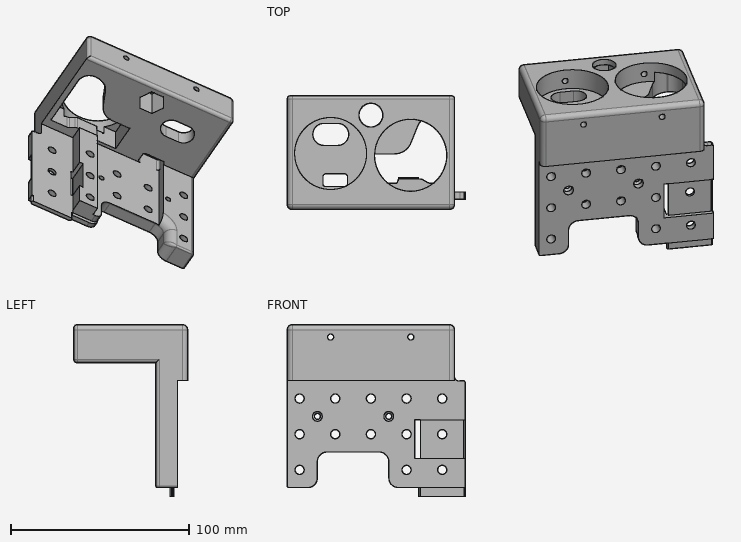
import cadquery as cq
import math

TOTAL_X = 100.0
BOX_X = 94.0
BOX_Y = 64.0
TOP_Z = 96.5
BOX_BOTTOM_Z = 75.0
LIP_BOTTOM_Z = 65.0
PLATE_BOTTOM_Z = 5.0
PLATE_FRONT_Y = 5.75
PLATE_BACK_Y = 18.0
THICK_PLATE_X = 73.8

FRONT_FILLET = 3.0
BACK_FILLET = 2.0
FOOT_FILLET = 1.0

TONGUE_FRONT_Y = 7.75
TONGUE_BACK_Y = 10.0
TONGUE_LEFT_X = 73.8
TONGUE_BEVEL = 0.9
WING_BLEND_X = 2.9
WING_BLEND_Z = 1.6
WING_BLEND_MIDDLE = (BOX_X + 1.0, LIP_BOTTOM_Z + 0.3)
WING_CORNER = 0.8
WINDOW_LEFT_X = 71.6
WINDOW_RIGHT_X = 74.8
WINDOW_FLOOR_Y = 8.2
WINDOW_BEVEL = 1.0
WINDOW_Z = (21.4, 43.0)

HOLE_PITCH = 20.0
FIRST_HOLE_X = 7.0
FIRST_HOLE_Z = 15.0
HOLE_D = 5.0
HOLE_COLUMNS_BY_ROW = ((0, 3, 4), (0, 1, 2, 3, 4), (0, 1, 2, 3, 4))
SCREW_D = 3.2
SCREW_HEAD_D = 5.5
SCREW_HEAD_DEPTH = 4.0
SCREW_Z = 45.0
NOTCH_LEFT_X = FIRST_HOLE_X + HOLE_PITCH / 2
NOTCH_RIGHT_X = NOTCH_LEFT_X + 2 * HOLE_PITCH
NOTCH_TOP_Z = 25.0
NOTCH_R = 5.5

SOCKET_D = 40.4
SOCKET_FLOOR_Z = 84.5
LEFT_SOCKET = (24.4, 31.5)
RIGHT_SOCKET = (69.3, 30.5)
PIN_D = 3.3
PIN_Z = 89.5
PIN_X = (24.4, 69.4)
NUT_CENTER = (47.0, 53.0)
NUT_SIDES = 6
NUT_FLATS = 13.2
NUT_ROOF_Z = 93.0

SLOT_CENTER = (24.5, 42.2)
SLOT_LENGTH = 20.0
SLOT_WIDTH = 12.2
DUCT_X = (20.2, 33.8)
DUCT_Y = (13.0, 20.0)
DUCT_CORNER_R = 1.4

CAVITY_ROOF_Z = 90.5
CAVITY_X = (49.0, 90.5)
CAVITY_BACK_Y = 53.5
CAVITY_FRONT_Y = 14.9
CAVITY_STEP_Y = 17.2
CAVITY_STEP_LEFT = (61.6, 62.4)
CAVITY_STEP_RIGHT = (75.5, 79.5)
SHELF_EDGE_Y = 31.2
SHELF_SLOPE_X = (67.0, 76.0)
SHELF_INNER_R = 10.0
SHELF_OUTER_R = 10.5
CAVITY_CORNER_R = 7.0
STEP_BLEND_R = 3.0

RECESS_X = (DUCT_X[0], CAVITY_STEP_LEFT[1])
RECESS_Y = DUCT_Y[0]

FOOT_REAR_Y = 8.6
FOOT_REAR_BOTTOM_Z = 7.5
FOOT_REAR_R = 4.0


def block(x_range, y_range, z_range):
    """Axis-aligned block spanning the given ranges."""
    corner = (x_range[0], y_range[0], z_range[0])
    sizes = [high - low for low, high in (x_range, y_range, z_range)]
    return cq.Workplane("XY", origin=corner).box(*sizes, centered=False)


def bore_y(x, z, diameter, y_start, y_end):
    """Round cutter along +Y."""
    sketch = cq.Workplane("XZ", origin=(x, y_start, z)).circle(diameter / 2)
    return sketch.extrude(y_start - y_end)


def in_box(x_range, y_range, z_range):
    """Selector for edges whose centres lie within the given ranges."""
    corners = tuple(zip(x_range, y_range, z_range))
    return cq.selectors.BoxSelector(*corners)


def around(value):
    """Narrow range about a value, for picking edges."""
    return (value - 0.1, value + 0.1)


def make_body():
    """Box with a front lip and a hanging plate, left open behind the wing."""
    side = [
        (0, LIP_BOTTOM_Z),
        (PLATE_FRONT_Y, LIP_BOTTOM_Z),
        (PLATE_FRONT_Y, PLATE_BOTTOM_Z),
        (PLATE_BACK_Y, PLATE_BOTTOM_Z),
        (PLATE_BACK_Y, BOX_BOTTOM_Z),
        (BOX_Y, BOX_BOTTOM_Z),
        (BOX_Y, TOP_Z),
        (0, TOP_Z),
    ]
    body = cq.Workplane("YZ").polyline(side).close().extrude(BOX_X)
    thin_side_x = (THICK_PLATE_X, BOX_X)
    behind_wing = block(thin_side_x, (TONGUE_BACK_Y, PLATE_BACK_Y), (PLATE_BOTTOM_Z, BOX_BOTTOM_Z))
    wing_space = block(thin_side_x, (PLATE_FRONT_Y, TONGUE_BACK_Y), (PLATE_BOTTOM_Z, LIP_BOTTOM_Z))
    return body.cut(behind_wing).cut(wing_space)


def round_edges(body):
    """Round the front, side and top edges, then the back and lower left edges."""
    front_edges = body.edges("<Y and |Z").vals() + body.faces(">Z").edges("not >Y").vals()
    body = body.newObject(front_edges).fillet(FRONT_FILLET)

    back_edges = body.edges(">Y and |Z").vals()
    back_edges += body.faces(">Y").edges(">Z or <Z").vals()
    left_edges = body.edges("<X")
    box_underside = in_box(around(0), (PLATE_BACK_Y, BOX_Y), around(BOX_BOTTOM_Z))
    plate_back = in_box(around(0), around(PLATE_BACK_Y), (PLATE_BOTTOM_Z, BOX_BOTTOM_Z))
    back_edges += left_edges.edges(box_underside).vals()
    back_edges += left_edges.edges(plate_back).vals()
    body = body.newObject(back_edges).fillet(BACK_FILLET)
    foot_edge = in_box(around(0), (PLATE_FRONT_Y, PLATE_BACK_Y), around(PLATE_BOTTOM_Z))
    return body.edges("<X").edges(foot_edge).fillet(FOOT_FILLET)


def add_wing(body):
    """Thin wing on the +X side, blended into the side of the box."""
    blend_end_x = BOX_X + WING_BLEND_X
    wing = (
        cq.Workplane("XZ", origin=(0, PLATE_FRONT_Y, 0))
        .moveTo(THICK_PLATE_X, PLATE_BOTTOM_Z)
        .lineTo(TOTAL_X, PLATE_BOTTOM_Z)
        .lineTo(TOTAL_X, LIP_BOTTOM_Z - WING_CORNER)
        .lineTo(TOTAL_X - WING_CORNER, LIP_BOTTOM_Z)
        .lineTo(blend_end_x, LIP_BOTTOM_Z)
        .threePointArc(WING_BLEND_MIDDLE, (BOX_X, LIP_BOTTOM_Z + WING_BLEND_Z))
        .lineTo(THICK_PLATE_X, LIP_BOTTOM_Z + WING_BLEND_Z)
        .close()
        .extrude(PLATE_FRONT_Y - TONGUE_BACK_Y)
    )
    return body.union(wing)


def cut_window(body):
    """Front pocket cut into the tongue, bevelled at its outer end, with a through slot on its left."""
    pocket = block((WINDOW_LEFT_X, TOTAL_X), (PLATE_FRONT_Y, WINDOW_FLOOR_Y), WINDOW_Z)
    bevel = (
        cq.Workplane("XY", origin=(TOTAL_X, WINDOW_FLOOR_Y, WINDOW_Z[0]))
        .polyline([(0, 0), (-WINDOW_BEVEL, 0), (0, WINDOW_BEVEL)])
        .close()
        .extrude(WINDOW_Z[1] - WINDOW_Z[0])
    )
    slot = block((WINDOW_LEFT_X, WINDOW_RIGHT_X), (PLATE_FRONT_Y, PLATE_BACK_Y), WINDOW_Z)
    return body.cut(pocket).cut(bevel).cut(slot)


def make_tongue():
    """Upright strip behind the wing with bevelled vertical edges."""
    outline = block(
        (TONGUE_LEFT_X, TOTAL_X), (TONGUE_FRONT_Y, TONGUE_BACK_Y), (0, LIP_BOTTOM_Z - WING_CORNER)
    )
    return outline.edges("|Z").chamfer(TONGUE_BEVEL)


def cut_front_holes(body):
    """Grid of plain holes and two counterbored screw holes with tapered seats."""
    for row, columns in enumerate(HOLE_COLUMNS_BY_ROW):
        z = FIRST_HOLE_Z + row * HOLE_PITCH
        for column in columns:
            x = FIRST_HOLE_X + column * HOLE_PITCH
            body = body.cut(bore_y(x, z, HOLE_D, PLATE_FRONT_Y, PLATE_BACK_Y))
    head_end_y = PLATE_FRONT_Y + SCREW_HEAD_DEPTH
    taper_depth = (SCREW_HEAD_D - SCREW_D) / 2
    for x in (NOTCH_LEFT_X, NOTCH_RIGHT_X):
        taper = cq.Solid.makeCone(
            SCREW_HEAD_D / 2,
            SCREW_D / 2,
            taper_depth,
            cq.Vector(x, head_end_y, SCREW_Z),
            cq.Vector(0, 1, 0),
        )
        body = body.cut(bore_y(x, SCREW_Z, SCREW_D, PLATE_FRONT_Y, PLATE_BACK_Y))
        body = body.cut(bore_y(x, SCREW_Z, SCREW_HEAD_D, PLATE_FRONT_Y, head_end_y))
        body = body.cut(cq.Workplane(taper))
    return body


def cut_notch(body):
    """Bottom notch with rounded inner corners and flared lower ends."""
    y_range = (PLATE_FRONT_Y, PLATE_BACK_Y)
    notch = block((NOTCH_LEFT_X, NOTCH_RIGHT_X), y_range, (0, NOTCH_TOP_Z))
    notch = notch.edges("|Y and >Z").fillet(NOTCH_R)
    body = body.cut(notch)
    x_range = (around(NOTCH_LEFT_X)[0], around(NOTCH_RIGHT_X)[1])
    foot_corners = in_box(x_range, y_range, around(PLATE_BOTTOM_Z))
    return body.edges("|Y").edges(foot_corners).fillet(NOTCH_R)


def shorten_rear_foot(body):
    """Raise and round the rear layer of the foot to the right of the notch."""
    y_range = (FOOT_REAR_Y, PLATE_BACK_Y)
    raised = block((NOTCH_RIGHT_X, THICK_PLATE_X), y_range, (PLATE_BOTTOM_Z, FOOT_REAR_BOTTOM_Z))
    corner = block(
        (NOTCH_RIGHT_X, NOTCH_RIGHT_X + FOOT_REAR_R),
        y_range,
        (FOOT_REAR_BOTTOM_Z, FOOT_REAR_BOTTOM_Z + FOOT_REAR_R),
    )
    round_foot = bore_y(
        NOTCH_RIGHT_X + FOOT_REAR_R,
        FOOT_REAR_BOTTOM_Z + FOOT_REAR_R,
        2 * FOOT_REAR_R,
        FOOT_REAR_Y,
        PLATE_BACK_Y,
    )
    return body.cut(raised).cut(corner.cut(round_foot))


def cut_plate_recess(body):
    """Hollow in the back of the plate, open at the bottom."""
    return body.cut(block(RECESS_X, (RECESS_Y, PLATE_BACK_Y), (PLATE_BOTTOM_Z, BOX_BOTTOM_Z)))


def cut_sockets(body):
    """Two round sockets with pin holes running through the box along Y."""
    for x, y in (LEFT_SOCKET, RIGHT_SOCKET):
        socket = cq.Workplane("XY", origin=(x, y, SOCKET_FLOOR_Z)).circle(SOCKET_D / 2)
        body = body.cut(socket.extrude(TOP_Z - SOCKET_FLOOR_Z))
    for x in PIN_X:
        body = body.cut(bore_y(x, PIN_Z, PIN_D, 0, BOX_Y))
    return body


def cut_left_floor(body):
    """Slot and rectangular duct through the floor of the left socket."""
    slot = (
        cq.Workplane("XY", origin=(*SLOT_CENTER, BOX_BOTTOM_Z))
        .slot2D(SLOT_LENGTH, SLOT_WIDTH)
        .extrude(SOCKET_FLOOR_Z - BOX_BOTTOM_Z)
    )
    duct = block(DUCT_X, DUCT_Y, (BOX_BOTTOM_Z, SOCKET_FLOOR_Z)).edges("|Z").fillet(DUCT_CORNER_R)
    return body.cut(slot).cut(duct)


def cut_nut_pocket(body):
    """Round hole through the roof above a hexagonal pocket."""
    hexagon_d = NUT_FLATS / math.cos(math.pi / NUT_SIDES)
    hole = cq.Workplane("XY", origin=(*NUT_CENTER, NUT_ROOF_Z)).circle(NUT_FLATS / 2)
    pocket = cq.Workplane("XY", origin=(*NUT_CENTER, BOX_BOTTOM_Z)).polygon(NUT_SIDES, hexagon_d)
    body = body.cut(hole.extrude(TOP_Z - NUT_ROOF_Z))
    return body.cut(pocket.extrude(NUT_ROOF_Z - BOX_BOTTOM_Z))


def cut_cavity(body):
    """Cavity below the right socket, open at the bottom, leaving a shelf at the back left."""
    left_x, right_x = CAVITY_X
    outline = [
        (left_x, CAVITY_FRONT_Y),
        (CAVITY_STEP_LEFT[0], CAVITY_FRONT_Y),
        (CAVITY_STEP_LEFT[1], CAVITY_STEP_Y),
        (CAVITY_STEP_RIGHT[0], CAVITY_STEP_Y),
        (CAVITY_STEP_RIGHT[1], CAVITY_FRONT_Y),
        (right_x, CAVITY_FRONT_Y),
        (right_x, CAVITY_BACK_Y),
        (SHELF_SLOPE_X[1], CAVITY_BACK_Y),
        (SHELF_SLOPE_X[0], SHELF_EDGE_Y),
        (left_x, SHELF_EDGE_Y),
    ]
    cavity = cq.Workplane("XY", origin=(0, 0, BOX_BOTTOM_Z)).polyline(outline).close()
    cavity = cavity.extrude(CAVITY_ROOF_Z - BOX_BOTTOM_Z)
    rounded_corners = (
        (SHELF_SLOPE_X[0], SHELF_EDGE_Y, SHELF_INNER_R),
        (SHELF_SLOPE_X[1], CAVITY_BACK_Y, SHELF_OUTER_R),
        (right_x, CAVITY_BACK_Y, CAVITY_CORNER_R),
        (CAVITY_STEP_RIGHT[0], CAVITY_STEP_Y, STEP_BLEND_R),
        (CAVITY_STEP_RIGHT[1], CAVITY_FRONT_Y, STEP_BLEND_R),
    )
    for x, y, radius in rounded_corners:
        corner = in_box(around(x), around(y), (BOX_BOTTOM_Z, CAVITY_ROOF_Z))
        cavity = cavity.edges("|Z").edges(corner).fillet(radius)
    return body.cut(cavity)


result = make_body()
result = round_edges(result)
result = add_wing(result)
result = result.union(make_tongue())
result = cut_window(result)
result = cut_notch(result)
result = shorten_rear_foot(result)
result = cut_plate_recess(result)
result = cut_front_holes(result)
result = cut_sockets(result)
result = cut_left_floor(result)
result = cut_nut_pocket(result)
result = cut_cavity(result)